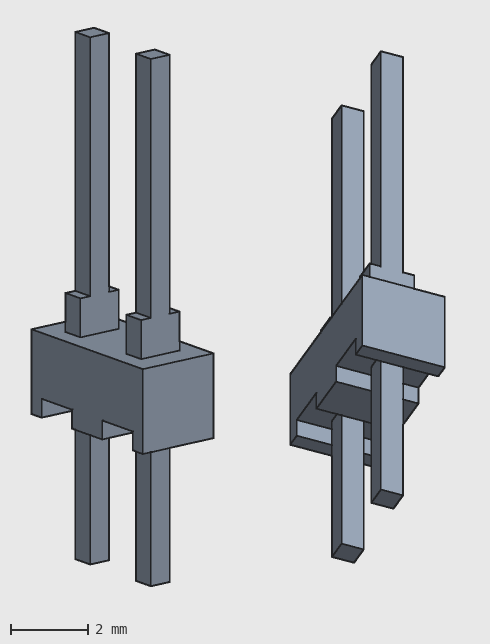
import cadquery as cq

body_length = 4.67
body_depth = 2.34
body_bottom = 3.91
body_top = 6.21
slot_width = 1.27
slot_height = 0.51
slot_top = body_bottom + slot_height

pin_pitch = 2.54
pin_width = 0.63
pin_height = 14.27
shoulder_depth = 1.27
shoulder_top = 7.26


def block(length, depth, bottom, top, x=0.0):
    """Box centred on (x, 0), spanning the given heights."""
    return (
        cq.Workplane("XY", origin=(x, 0, bottom))
        .rect(length, depth)
        .extrude(top - bottom)
    )


def pin(x):
    """Square pin standing on Z = 0, with a shoulder widened along Y."""
    shaft = block(pin_width, pin_width, 0, pin_height, x)
    shoulder = block(pin_width, shoulder_depth, slot_top, shoulder_top, x)
    return shaft.union(shoulder)


result = block(body_length, body_depth, body_bottom, body_top)
pin_positions = [-pin_pitch / 2, pin_pitch / 2]

for pin_x in pin_positions:
    result = result.cut(block(slot_width, body_depth, body_bottom, slot_top, pin_x))

for pin_x in pin_positions:
    result = result.union(pin(pin_x))